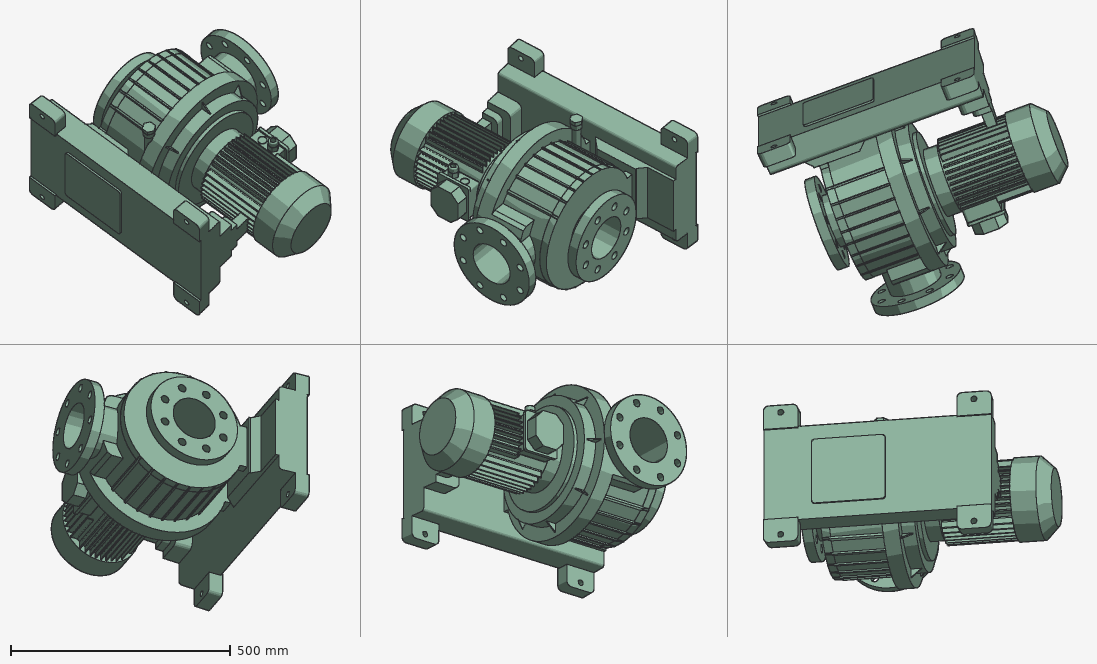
import cadquery as cq
import math


flange_d = 220.0
flange_thick = 24.0
pipe_d = 125.0
suction_bore_d = 107.0
discharge_bore_d = 108.0
suction_bolt_d = 19.0
suction_bolt_circle_d = 160.5
discharge_bolt_d = 18.0
discharge_bolt_circle_d = 180.0
bolt_count = 8
discharge_x = 148.0
discharge_bore_y0 = 63.0
discharge_top_y = 234.0

casing_x0 = 52.5
front_disc_x1 = 72.0
ring_x0 = 199.5
ring_x1 = 237.5
adapter_x1 = 270.0
disc_x1 = 279.0
lantern_x1 = 313.5
fins_x0 = 318.5
cowl_x0 = 485.0
cone_x0 = 546.0
cone_x1 = 576.0

casing_r = 152.0
front_disc_r = 153.0
ring_d = 369.5
ring_r = ring_d / 2
adapter_d = 303.0
adapter_disc_d = 250.0
foot_width = 110.0
rib_thick = 4.0
rib_pitch = 31.5
rib_rows = 4
rib_tip_r = 156.0
rib_front_tip_r = 154.0
rib_ramp_x = 64.5
gusset_count = 8
gusset_thick = 3.0
gusset_r = 172.5
gusset_x1 = 262.0

block_x0 = 108.0
block_half_z = 83.0
block_shoulder_y = 157.5
block_corner_y = 168.0

plug_x = 193.5
plug_y = -132.0
plug_bottom_z = 50.5
plug_stem_d = 21.0
plug_collar_d = 27.0
plug_collar_z = 142.0
plug_hex_z = 156.0
plug_top_z = 167.0
plug_hex_corners_d = 31.5

lantern_d = 163.0
motor_core_r = 81.0
fin_tip_r = 93.5
fin_thick = 2.5
fin_pitch = 13.0
fins_each_side = 4
cowl_d = 194.0
cowl_end_d = 135.0

box_x0 = 321.0
box_x1 = 400.5
box_y0 = 69.0
box_half_z = 44.0
box_rim_y0 = 101.0
box_rim_y1 = 108.5
box_y1 = 140.0
box_rim_overhang = 6.0
lid_chamfer = 21.0
box_corner_r = 6.5
gland_x = 377.0
entry_x = 344.0
gland_y = 87.0
gland_top_z = 72.0
gland_hex_z = 59.5
gland_hex_d = 27.0
gland_cap_d = 23.0
gland_cap_edge_r = 3.0
gland_bore_d = 12.5
entry_d = 21.0
entry_depth = 2.0

base_x0 = -55.5
base_x1 = 474.5
base_bottom_y = -265.5
base_body_y0 = -260.5
base_top_y = -190.0
base_half_z = 114.5
base_edge_r = 8.0
end_top_x0 = -45.5
end_top_x1 = 461.0
mount_foot_length = 80.0
mount_foot_top_y = -230.5
mount_foot_z0 = 110.5
mount_foot_z1 = 167.5
mount_foot_r = 12.5
mount_hole_d = 13.0
mount_hole_inset_x = 40.5
mount_hole_z = 150.0
pad_x0 = 56.0
pad_x1 = 227.5
pad_half_z = 78.5
pad_corner_r = 7.5
pedestal_half_z = 76.5
pedestal_low_y = -182.0
pedestal_high_y = -160.0
pedestal_step_y = -163.5
pedestal_slope_x0 = 24.5
pedestal_slope_x1 = 42.0
pedestal_flat_x1 = 154.0
pedestal_x1 = 184.0
support_corner_r = 15.0
support_steps = [
    (399.5, base_top_y, -148.5, 57.0),
    (421.5, -148.5, -129.0, 38.0),
]
post_x0 = 438.5
post_half_z = 22.0
post_top_y = -76.0


def box(x0, x1, y0, y1, z0, z1):
    return cq.Workplane("XY").box(x1 - x0, y1 - y0, z1 - z0, centered=False).translate((x0, y0, z0))


def shaft_cylinder(x0, x1, diameter):
    return cq.Workplane("YZ", origin=(x0, 0, 0)).circle(diameter / 2).extrude(x1 - x0)


def upright_cylinder(x, y, z0, z1, diameter):
    return cq.Workplane("XY", origin=(x, y, z0)).circle(diameter / 2).extrude(z1 - z0)


def upright_hexagon(x, y, z0, z1, corners_d):
    return cq.Workplane("XY", origin=(x, y, z0)).polygon(6, corners_d).extrude(z1 - z0)


def discharge_cylinder(y0, y1, diameter):
    plane = cq.Workplane("XZ", origin=(discharge_x, y1, 0))
    return plane.circle(diameter / 2).extrude(y1 - y0)


def drill_bolt_circle(flange, face, circle_d, hole_d):
    first_angle = 180 / bolt_count
    plane = flange.faces(face).workplane(centerOption="CenterOfBoundBox")
    return plane.polarArray(circle_d / 2, first_angle, 360, bolt_count).hole(hole_d)


def make_casing_ribs():
    """Axial ribs in planes of constant Y, standing proud on the +Z and -Z sides."""
    outline = [
        (casing_x0, 0),
        (casing_x0, rib_front_tip_r),
        (rib_ramp_x, rib_front_tip_r),
        (front_disc_x1, rib_tip_r),
        (ring_x0, rib_tip_r),
        (ring_x0, 0),
    ]
    envelope = cq.Workplane("XY").polyline(outline).close().revolve(360, (0, 0, 0), (1, 0, 0))
    slabs = cq.Workplane("XY")
    for row in range(2 * rib_rows):
        y = (row - rib_rows + 0.5) * rib_pitch
        slabs = slabs.add(box(casing_x0, ring_x0, y - rib_thick / 2, y + rib_thick / 2, -ring_r, ring_r))
    return slabs.combine().intersect(envelope)


def make_discharge_block():
    """Block with an arc top flush with the ring, chamfered at both Z sides."""
    corner_z = math.sqrt(ring_r ** 2 - block_corner_y ** 2)
    return (
        cq.Workplane("YZ", origin=(block_x0, 0, 0))
        .moveTo(0, -block_half_z)
        .lineTo(block_shoulder_y, -block_half_z)
        .lineTo(block_corner_y, -corner_z)
        .threePointArc((ring_r, 0), (block_corner_y, corner_z))
        .lineTo(block_shoulder_y, block_half_z)
        .lineTo(0, block_half_z)
        .close()
        .extrude(ring_x0 - block_x0)
    )


def make_gussets():
    """Triangular webs between the large ring and the adapter."""
    outline = [(ring_x1, 0), (ring_x1, gusset_r), (gusset_x1, adapter_d / 2), (gusset_x1, 0)]
    web = cq.Workplane("XY").polyline(outline).close().extrude(gusset_thick / 2, both=True)
    webs = cq.Workplane("XY")
    for i in range(gusset_count):
        webs = webs.add(web.rotate((0, 0, 0), (1, 0, 0), i * 360 / gusset_count))
    return webs.combine()


def make_pump():
    suction_flange = shaft_cylinder(0, flange_thick, flange_d)
    suction_flange = drill_bolt_circle(suction_flange, "<X", suction_bolt_circle_d, suction_bolt_d)
    discharge_flange = discharge_cylinder(discharge_top_y - flange_thick, discharge_top_y, flange_d)
    discharge_flange = drill_bolt_circle(discharge_flange, ">Y", discharge_bolt_circle_d, discharge_bolt_d)
    half_foot = foot_width / 2
    return (
        shaft_cylinder(casing_x0, ring_x0, 2 * casing_r)
        .union(shaft_cylinder(casing_x0, front_disc_x1, 2 * front_disc_r))
        .union(make_casing_ribs())
        .union(make_discharge_block())
        .union(shaft_cylinder(ring_x0, ring_x1, ring_d))
        .union(shaft_cylinder(ring_x1, adapter_x1, adapter_d))
        .union(make_gussets())
        .union(shaft_cylinder(adapter_x1, disc_x1, adapter_disc_d))
        .union(box(casing_x0, front_disc_x1, pedestal_high_y, 0, -half_foot, half_foot))
        .union(box(ring_x0, ring_x1, base_top_y, 0, -half_foot, half_foot))
        .union(shaft_cylinder(flange_thick, casing_x0, pipe_d))
        .union(suction_flange)
        .union(discharge_cylinder(0, discharge_top_y - flange_thick, pipe_d))
        .union(discharge_flange)
        .cut(shaft_cylinder(0, ring_x0, suction_bore_d))
        .cut(discharge_cylinder(discharge_bore_y0, discharge_top_y, discharge_bore_d))
    )


def make_plug():
    return (
        upright_cylinder(plug_x, plug_y, plug_bottom_z, plug_top_z, plug_stem_d)
        .union(upright_cylinder(plug_x, plug_y, plug_collar_z, plug_hex_z, plug_collar_d))
        .union(upright_hexagon(plug_x, plug_y, plug_hex_z, plug_top_z, plug_hex_corners_d))
    )


def make_fins():
    """Straight cooling fins: one set parallel to Z, one set parallel to Y."""
    fin_reach = fins_each_side * fin_pitch + fin_thick / 2
    half = fin_thick / 2
    slabs = cq.Workplane("XY")
    for i in range(-fins_each_side, fins_each_side + 1):
        place = i * fin_pitch
        slabs = slabs.add(box(fins_x0, cowl_x0, place - half, place + half, -fin_tip_r, fin_tip_r))
        slabs = slabs.add(box(fins_x0, cowl_x0, -fin_tip_r, fin_tip_r, place - half, place + half))
    fins = slabs.combine().intersect(shaft_cylinder(fins_x0, cowl_x0, 2 * fin_tip_r))
    box_clearance = box(fins_x0, box_x1, fin_reach, fin_tip_r, -fin_tip_r, fin_tip_r)
    return fins.cut(box_clearance)


def make_motor():
    cone = cq.Solid.makeCone(
        cowl_d / 2, cowl_end_d / 2, cone_x1 - cone_x0, cq.Vector(cone_x0, 0, 0), cq.Vector(1, 0, 0)
    )
    return (
        shaft_cylinder(disc_x1, lantern_x1, lantern_d)
        .union(shaft_cylinder(lantern_x1, cowl_x0, 2 * motor_core_r))
        .union(make_fins())
        .union(shaft_cylinder(cowl_x0, cone_x0, cowl_d))
        .union(cq.Workplane(cone))
    )


def make_terminal_box():
    rim_x0 = box_x0 - box_rim_overhang
    rim_x1 = box_x1 + box_rim_overhang
    rim_half_z = box_half_z + box_rim_overhang
    body = box(rim_x0, box_x1, box_y0, box_rim_y0, -box_half_z, box_half_z)
    body = body.edges("|Y and <X").fillet(box_corner_r)
    neck = box(box_x0, box_x1, 0, box_y0, -box_half_z / 2, box_half_z / 2)
    rim = box(rim_x0, rim_x1, box_rim_y0, box_rim_y1, -rim_half_z, rim_half_z)
    rim = rim.edges("|Y").fillet(box_corner_r)
    lid = box(box_x0, box_x1, box_rim_y1, box_y1, -box_half_z, box_half_z)
    lid = lid.edges("|Y").chamfer(lid_chamfer)
    gland = upright_hexagon(gland_x, gland_y, box_half_z, gland_hex_z, gland_hex_d)
    cap = upright_cylinder(gland_x, gland_y, gland_hex_z, gland_top_z, gland_cap_d)
    gland = gland.union(cap.faces(">Z").edges().fillet(gland_cap_edge_r))
    gland = gland.cut(upright_cylinder(gland_x, gland_y, box_half_z, gland_top_z, gland_bore_d))
    entry = upright_cylinder(entry_x, gland_y, box_half_z - entry_depth, box_half_z, entry_d)
    return body.union(neck).union(rim).union(lid).union(gland).cut(entry)


def make_end_envelope():
    """Wedge whose ends lean inward towards the shaft, bounding the base along X."""
    outline = [
        (base_x0, base_bottom_y),
        (base_x1, base_bottom_y),
        (end_top_x1, post_top_y),
        (end_top_x0, post_top_y),
    ]
    return cq.Workplane("XY").polyline(outline).close().extrude(ring_r, both=True)


def make_mount_foot(x0):
    """Foot at the +Z side of the base, starting at x0, its outer corners rounded."""
    x1 = x0 + mount_foot_length
    foot = box(x0, x1, base_bottom_y, mount_foot_top_y, mount_foot_z0, mount_foot_z1)
    foot = foot.intersect(make_end_envelope())
    return foot.faces(">Z").edges("not |X").fillet(mount_foot_r)


def make_mount_hole(x):
    plane = cq.Workplane("XZ", origin=(x, mount_foot_top_y, mount_hole_z))
    return plane.circle(mount_hole_d / 2).extrude(mount_foot_top_y - base_bottom_y)


def make_base():
    body = box(base_x0, base_x1, base_body_y0, base_top_y, -base_half_z, base_half_z)
    body = body.edges("|X and >Y").fillet(base_edge_r)

    feet = make_mount_foot(base_x0).union(make_mount_foot(base_x1 - mount_foot_length))
    feet = feet.cut(make_mount_hole(base_x0 + mount_hole_inset_x))
    feet = feet.cut(make_mount_hole(base_x1 - mount_hole_inset_x))

    pad = box(pad_x0, pad_x1, base_bottom_y, base_body_y0, -pad_half_z, pad_half_z)
    pad = pad.edges("|Y").fillet(pad_corner_r)

    pedestal_outline = [
        (base_x0, base_top_y),
        (base_x0, pedestal_low_y),
        (pedestal_slope_x0, pedestal_low_y),
        (pedestal_slope_x1, pedestal_step_y),
        (pedestal_slope_x1, pedestal_high_y),
        (pedestal_flat_x1, pedestal_high_y),
        (pedestal_x1, base_top_y),
    ]
    pedestal = cq.Workplane("XY").polyline(pedestal_outline).close().extrude(pedestal_half_z, both=True)

    base = body.union(feet).union(feet.mirror("XY")).union(pad).union(pedestal)
    for x0, y0, y1, half_z in support_steps:
        step = box(x0, base_x1, y0, y1, -half_z, half_z)
        base = base.union(step.edges("|Y and <X").fillet(support_corner_r))
    post_y0 = support_steps[-1][2]
    base = base.union(box(post_x0, base_x1, post_y0, post_top_y, -post_half_z, post_half_z))

    return base.intersect(make_end_envelope())


result = (
    make_pump()
    .union(make_plug())
    .union(make_motor())
    .union(make_terminal_box())
    .union(make_base())
)